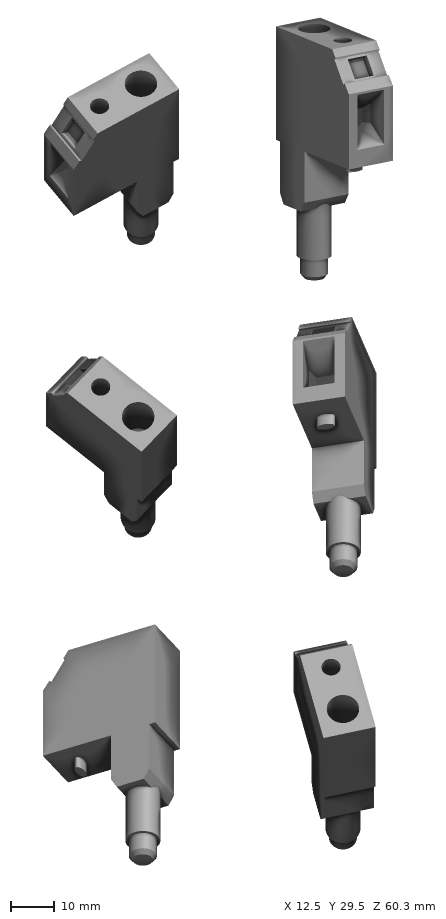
import cadquery as cq
import math

WIDTH = 12.5
DEPTH = 29.5
HEIGHT = 60.3
OVERLAP = 0.6

HOUSING_BOTTOM = 32.8
SHOULDER_TOP_Y = 6.7
SHOULDER_BOTTOM_Z = 51.0
LABEL_TOP = (5.85, 58.05)
LABEL_BOTTOM = (2.25, 52.8)
UPPER_LIP_Y = 5.5
UPPER_LIP_TOP_Z = 58.55
UPPER_LIP_BOTTOM_Z = 58.2
LOWER_LIP_Z = 53.2
LOWER_LIP_BACK_Y = 1.9
LOWER_LIP_FRONT_Y = 1.6

NECK_FRONT = 17.95
NECK_LENGTH = 9.95
NECK_BOTTOM = 17.9
NECK_CHAMFER_DEPTH = 1.45
NECK_CHAMFER_HEIGHT = 2.5

PIN_Y = 23.0
PIN_DIAMETER = 8.15
PIN_BOTTOM = 5.35
TIP_DIAMETER = 6.5
TIP_END_DIAMETER = 4.7
TIP_CHAMFER_HEIGHT = 1.1

STUB_WIDTH = 4.3
STUB_THICKNESS = 2.1
STUB_Y = 6.65
STUB_LENGTH = 2.9

LARGE_HOLE_DIAMETER = 7.55
SMALL_HOLE_DIAMETER = 4.45
SMALL_HOLE_Y = 11.4
HOLE_DEPTH = 14.5

ENTRY_WIDTH = 7.55
ENTRY_BOTTOM = 37.15
ENTRY_TOP = 50.5
ENTRY_DEPTH = 6.95
TAPER_START = 5.5
ROOF_DROP = 5.85
THROAT_WIDTH = 4.75
FACET_TOP = 41.1
FLOOR_BACK_WIDTH = 1.85

RECESS_WIDTH = 5.35
RECESS_LENGTH = 5.05
RECESS_WALL_DEPTH = 1.55
RECESS_DEPTH = 1.9
RECESS_OFFSET = 0.6


def extrude_side_profile(points, width):
    """Extrude a YZ outline symmetrically about X = 0."""
    return cq.Workplane("YZ").polyline(points).close().extrude(width / 2, both=True)


def make_housing():
    return extrude_side_profile(
        [
            (0, HOUSING_BOTTOM),
            (DEPTH, HOUSING_BOTTOM),
            (DEPTH, HEIGHT),
            (SHOULDER_TOP_Y, HEIGHT),
            (UPPER_LIP_Y, UPPER_LIP_TOP_Z),
            (UPPER_LIP_Y, UPPER_LIP_BOTTOM_Z),
            LABEL_TOP,
            LABEL_BOTTOM,
            (LOWER_LIP_BACK_Y, LOWER_LIP_Z),
            (LOWER_LIP_FRONT_Y, LOWER_LIP_Z),
            (0, SHOULDER_BOTTOM_Z),
        ],
        WIDTH,
    )


def make_neck():
    back = NECK_FRONT + NECK_LENGTH
    top = HOUSING_BOTTOM + OVERLAP
    chamfer_top = NECK_BOTTOM + NECK_CHAMFER_HEIGHT
    return extrude_side_profile(
        [
            (NECK_FRONT, top),
            (NECK_FRONT, chamfer_top),
            (NECK_FRONT + NECK_CHAMFER_DEPTH, NECK_BOTTOM),
            (back - NECK_CHAMFER_DEPTH, NECK_BOTTOM),
            (back, chamfer_top),
            (back, top),
        ],
        WIDTH,
    )


def make_pin():
    top = NECK_BOTTOM + NECK_CHAMFER_HEIGHT
    return (
        cq.Workplane("XZ", origin=(0, PIN_Y, 0))
        .polyline(
            [
                (0, 0),
                (TIP_END_DIAMETER / 2, 0),
                (TIP_DIAMETER / 2, TIP_CHAMFER_HEIGHT),
                (TIP_DIAMETER / 2, PIN_BOTTOM),
                (PIN_DIAMETER / 2, PIN_BOTTOM),
                (PIN_DIAMETER / 2, top),
                (0, top),
            ]
        )
        .close()
        .revolve(360, (0, 0, 0), (0, 1, 0))
    )


def make_stub():
    return (
        cq.Workplane("XY", origin=(0, STUB_Y, HOUSING_BOTTOM - STUB_LENGTH))
        .ellipse(STUB_WIDTH / 2, STUB_THICKNESS / 2)
        .extrude(STUB_LENGTH + OVERLAP)
    )


def make_top_hole(y, diameter):
    return (
        cq.Workplane("XY", origin=(0, y, HEIGHT - HOLE_DEPTH))
        .circle(diameter / 2)
        .extrude(HOLE_DEPTH + OVERLAP)
    )


def make_wire_entry():
    """Funnel with a falling roof, rising floor and tapered sides and lower corners."""
    half_entry = ENTRY_WIDTH / 2
    half_throat = THROAT_WIDTH / 2
    half_floor = FLOOR_BACK_WIDTH / 2
    roof_slope = ROOF_DROP / ENTRY_DEPTH
    facet_slope = (FACET_TOP - ENTRY_BOTTOM) / TAPER_START
    facet_side_slope = facet_slope * (ENTRY_DEPTH - TAPER_START) / (half_entry - half_throat)
    floor_back = ENTRY_BOTTOM + facet_slope * ENTRY_DEPTH - facet_side_slope * (half_entry - half_floor)

    corners = [
        (half_entry, 0, ENTRY_BOTTOM),
        (half_entry, TAPER_START, FACET_TOP),
        (half_throat, ENTRY_DEPTH, FACET_TOP),
        (half_floor, ENTRY_DEPTH, floor_back),
        (half_entry, 0, ENTRY_TOP),
        (half_entry, TAPER_START, ENTRY_TOP - roof_slope * TAPER_START),
        (half_throat, ENTRY_DEPTH, ENTRY_TOP - ROOF_DROP),
    ]
    right = [cq.Vector(x, y, z) for x, y, z in corners]
    left = [cq.Vector(-x, y, z) for x, y, z in corners]
    outlines = []
    for side in (right, left):
        entry_low, taper_low, throat_low, floor_end, entry_top, taper_top, throat_top = side
        outlines.append([entry_low, taper_low, taper_top, entry_top])
        outlines.append([taper_low, throat_low, throat_top, taper_top])
        outlines.append([entry_low, taper_low, throat_low, floor_end])

    def across(indices):
        return [right[i] for i in indices] + [left[i] for i in reversed(indices)]

    outlines.append(across([0, 4]))
    outlines.append(across([0, 3]))
    outlines.append(across([4, 5, 6]))
    outlines.append(across([3, 2, 6]))
    faces = [cq.Face.makeFromWires(cq.Wire.makePolygon(o, close=True)) for o in outlines]
    return cq.Workplane(cq.Solid.makeSolid(cq.Shell.makeShell(faces)))


def make_label_recess():
    run = LABEL_TOP[0] - LABEL_BOTTOM[0]
    rise = LABEL_TOP[1] - LABEL_BOTTOM[1]
    slope_length = math.hypot(run, rise)
    sin_slope = rise / slope_length
    cos_slope = run / slope_length

    def label_point(along, depth):
        """YZ point at a distance down the label face and a depth square to it."""
        return (
            LABEL_TOP[0] - along * cos_slope + depth * sin_slope,
            LABEL_TOP[1] - along * sin_slope - depth * cos_slope,
        )

    upper = RECESS_OFFSET
    lower = RECESS_OFFSET + RECESS_LENGTH
    step = RECESS_DEPTH - RECESS_WALL_DEPTH
    return extrude_side_profile(
        [
            label_point(upper, -OVERLAP),
            label_point(upper, RECESS_WALL_DEPTH),
            label_point(upper + step * rise / run, RECESS_DEPTH),
            label_point(lower - step * run / rise, RECESS_DEPTH),
            label_point(lower, RECESS_WALL_DEPTH),
            label_point(lower, -OVERLAP),
        ],
        RECESS_WIDTH,
    )


result = (
    make_housing()
    .union(make_neck())
    .union(make_pin())
    .union(make_stub())
    .cut(make_top_hole(PIN_Y, LARGE_HOLE_DIAMETER))
    .cut(make_top_hole(SMALL_HOLE_Y, SMALL_HOLE_DIAMETER))
    .cut(make_wire_entry())
    .cut(make_label_recess())
)